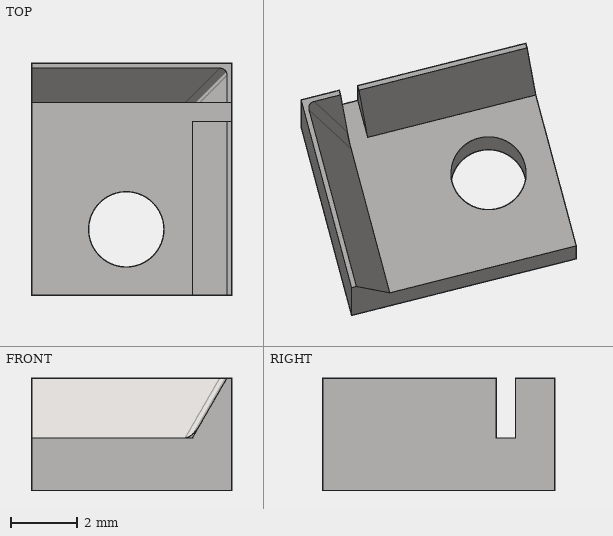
import cadquery as cq
import math

length_x = 6.03
width_y = 6.99
height = 3.39

floor_height = 1.59
rim_width = 0.15
wall_draft = math.radians(30)
corner_radius = 0.25

slot_width = 0.57

hole_diameter = 2.26
hole_from_left = 2.85
hole_from_front = 1.99

wall_height = height - floor_height
slope_run = wall_height * math.tan(wall_draft)
right_side = length_x / 2
left_side = -right_side
back_side = width_y / 2
front_side = -back_side
rim_x = right_side - rim_width
rim_y = back_side - rim_width
foot_x = rim_x - slope_run
foot_y = rim_y - slope_run


def make_wall_bodies():
    """Return the +X and +Y walls as full-length prisms standing on the floor."""
    right_wall = (
        cq.Workplane("XZ", origin=(0, back_side, 0))
        .moveTo(foot_x, floor_height)
        .lineTo(rim_x, height)
        .lineTo(right_side, height)
        .lineTo(right_side, floor_height)
        .close()
        .extrude(width_y)
    )
    back_wall = (
        cq.Workplane("YZ", origin=(left_side, 0, 0))
        .moveTo(foot_y, floor_height)
        .lineTo(rim_y, height)
        .lineTo(back_side, height)
        .lineTo(back_side, floor_height)
        .close()
        .extrude(length_x)
    )
    return right_wall.union(back_wall)


def round_inner_corner(body):
    """Fillet the slanted edge where the two sloped wall faces meet."""
    corner_direction = cq.Vector(slope_run, slope_run, wall_height)
    corner_edge = body.edges(cq.selectors.ParallelDirSelector(corner_direction))
    return corner_edge.fillet(corner_radius)


def make_slot():
    """Return the cutter that opens the +X wall down to the floor."""
    return (
        cq.Workplane("XY", origin=(0, foot_y - slot_width / 2, floor_height))
        .rect(length_x, slot_width)
        .extrude(wall_height)
    )


def make_hole():
    """Return the cutter for the through hole."""
    return (
        cq.Workplane("XY")
        .center(left_side + hole_from_left, front_side + hole_from_front)
        .circle(hole_diameter / 2)
        .extrude(floor_height)
    )


base = cq.Workplane("XY").rect(length_x, width_y).extrude(floor_height)
body = round_inner_corner(base.union(make_wall_bodies()))
result = body.cut(make_slot()).cut(make_hole())